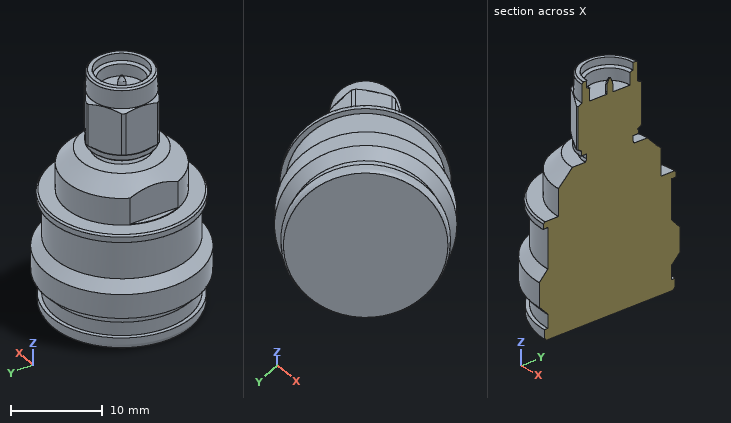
import cadquery as cq
import math

TOTAL_HEIGHT = 30.35
REAR_RIM_TOP = 1.45
RING_BOTTOM = 3.2
RING_TOP = 8.83
BARREL_TOP = 13.93
BARREL_FLANGE_TOP = 14.85
BODY_TOP = 20.27
NECK_FLARE_TOP = 20.6
NUT_BOTTOM = 21.18
HEX_BOTTOM = 21.8
HEX_TOP = 27.8

REAR_RIM_RADIUS = 9.23
REAR_ROUNDING_RADIUS = 0.58
REAR_ROUNDING_ANGLE = 35
BARREL_RADIUS = 8.75
RING_RADIUS = 9.94
RING_SLOPE_HEIGHT = 1.27
BARREL_FLANGE_RADIUS = 9.35
EDGE_CHAMFER = 0.2

BODY_RADIUS = 7.25
BODY_CHAMFER = 1.97
FLAT_DISTANCE = 6.55
FLAT_BOTTOM = BARREL_FLANGE_TOP + 0.1
NECK_RADIUS = 3.28
NECK_FLARE = 0.18

NUT_RADIUS = 4.05
COLLAR_RADIUS = 3.95
HEX_ACROSS_FLATS = 8.0
HALF_HEX_ANGLE = 30
HEX_CORNER_RADIUS = 4.5
HEX_CHAMFER_HEIGHT = 0.3

MOUTH_RADIUS = 3.22
MOUTH_DEPTH = 0.95
SOCKET_RADIUS = 2.8
STEP_DEPTH = 1.12
SOCKET_DEPTH = 2.67
PIN_RADIUS = 0.45
PIN_SHOULDER_DEPTH = 1.73
PIN_CONE_DEPTH = 1.37
PIN_CONE_RADIUS = 0.4
PIN_TIP_DEPTH = 0.82
PIN_TIP_RADIUS = 0.12


def revolve_profile(points):
    """Revolve a (radius, height) outline about the Z axis."""
    return cq.Workplane("XZ").polyline(points).close().revolve(360, (0, 0), (0, 1))


def make_barrel():
    """Barrel with a gripping ring; its rear edge is a short rounding followed by a tangent bevel."""
    angle = math.radians(REAR_ROUNDING_ANGLE)
    arc_centre_radius = REAR_RIM_RADIUS - REAR_ROUNDING_RADIUS

    def rounding_point(turn):
        return (
            arc_centre_radius + REAR_ROUNDING_RADIUS * math.cos(turn),
            REAR_ROUNDING_RADIUS * (1 - math.sin(turn)),
        )

    bevel_radius, bevel_height = rounding_point(angle)
    return (
        cq.Workplane("XZ")
        .lineTo(bevel_radius - bevel_height * math.tan(angle), 0)
        .lineTo(bevel_radius, bevel_height)
        .threePointArc(rounding_point(angle / 2), rounding_point(0))
        .lineTo(REAR_RIM_RADIUS, REAR_RIM_TOP)
        .lineTo(BARREL_RADIUS, REAR_RIM_TOP)
        .lineTo(BARREL_RADIUS, RING_BOTTOM)
        .lineTo(RING_RADIUS, RING_BOTTOM + RING_SLOPE_HEIGHT)
        .lineTo(RING_RADIUS, RING_TOP - RING_SLOPE_HEIGHT)
        .lineTo(BARREL_RADIUS, RING_TOP)
        .lineTo(BARREL_RADIUS, BARREL_TOP)
        .lineTo(BARREL_FLANGE_RADIUS, BARREL_TOP)
        .lineTo(BARREL_FLANGE_RADIUS, BARREL_FLANGE_TOP - EDGE_CHAMFER)
        .lineTo(BARREL_FLANGE_RADIUS - EDGE_CHAMFER, BARREL_FLANGE_TOP)
        .lineTo(0, BARREL_FLANGE_TOP)
        .close()
        .revolve(360, (0, 0), (0, 1))
    )


def make_body():
    body = revolve_profile([
        (0, BARREL_FLANGE_TOP),
        (BODY_RADIUS, BARREL_FLANGE_TOP),
        (BODY_RADIUS, BODY_TOP - BODY_CHAMFER),
        (BODY_RADIUS - BODY_CHAMFER, BODY_TOP),
        (NECK_RADIUS + NECK_FLARE, BODY_TOP),
        (NECK_RADIUS, NECK_FLARE_TOP),
        (NECK_RADIUS, NUT_BOTTOM),
        (0, NUT_BOTTOM),
    ])
    flat_cut_depth = BODY_RADIUS - FLAT_DISTANCE
    for side in (-1, 1):
        flat_cut = (
            cq.Workplane("XY")
            .box(flat_cut_depth, 2 * BODY_RADIUS, BODY_TOP - FLAT_BOTTOM, centered=(True, True, False))
            .translate((side * (FLAT_DISTANCE + flat_cut_depth / 2), 0, FLAT_BOTTOM))
        )
        body = body.cut(flat_cut)
    return body


def make_hex():
    """Hexagon with flats facing +X and -X and its corners turned down at both ends."""
    corner_diameter = HEX_ACROSS_FLATS / math.cos(math.radians(HALF_HEX_ANGLE))
    prism = (
        cq.Workplane("XY", origin=(0, 0, HEX_BOTTOM))
        .polygon(6, corner_diameter)
        .extrude(HEX_TOP - HEX_BOTTOM)
        .rotate((0, 0, 0), (0, 0, 1), HALF_HEX_ANGLE)
    )
    turned_envelope = revolve_profile([
        (0, HEX_BOTTOM),
        (COLLAR_RADIUS, HEX_BOTTOM),
        (HEX_CORNER_RADIUS, HEX_BOTTOM + HEX_CHAMFER_HEIGHT),
        (HEX_CORNER_RADIUS, HEX_TOP - HEX_CHAMFER_HEIGHT),
        (COLLAR_RADIUS, HEX_TOP),
        (0, HEX_TOP),
    ])
    return prism.intersect(turned_envelope)


def make_nut():
    skirt = cq.Workplane("XY", origin=(0, 0, NUT_BOTTOM)).circle(NUT_RADIUS).extrude(HEX_BOTTOM - NUT_BOTTOM)
    collar = (
        cq.Workplane("XY", origin=(0, 0, HEX_TOP))
        .circle(COLLAR_RADIUS)
        .extrude(TOTAL_HEIGHT - HEX_TOP)
        .faces(">Z")
        .chamfer(EDGE_CHAMFER)
    )
    return skirt.union(make_hex()).union(collar)


def make_socket():
    return revolve_profile([
        (0, TOTAL_HEIGHT - SOCKET_DEPTH),
        (SOCKET_RADIUS, TOTAL_HEIGHT - SOCKET_DEPTH),
        (SOCKET_RADIUS, TOTAL_HEIGHT - STEP_DEPTH),
        (MOUTH_RADIUS, TOTAL_HEIGHT - MOUTH_DEPTH),
        (MOUTH_RADIUS, TOTAL_HEIGHT),
        (0, TOTAL_HEIGHT),
    ])


def make_pin():
    return revolve_profile([
        (0, TOTAL_HEIGHT - SOCKET_DEPTH),
        (PIN_RADIUS, TOTAL_HEIGHT - SOCKET_DEPTH),
        (PIN_RADIUS, TOTAL_HEIGHT - PIN_SHOULDER_DEPTH),
        (PIN_CONE_RADIUS, TOTAL_HEIGHT - PIN_CONE_DEPTH),
        (PIN_TIP_RADIUS, TOTAL_HEIGHT - PIN_TIP_DEPTH),
        (0, TOTAL_HEIGHT - PIN_TIP_DEPTH),
    ])


result = make_barrel().union(make_body()).union(make_nut()).cut(make_socket()).union(make_pin())